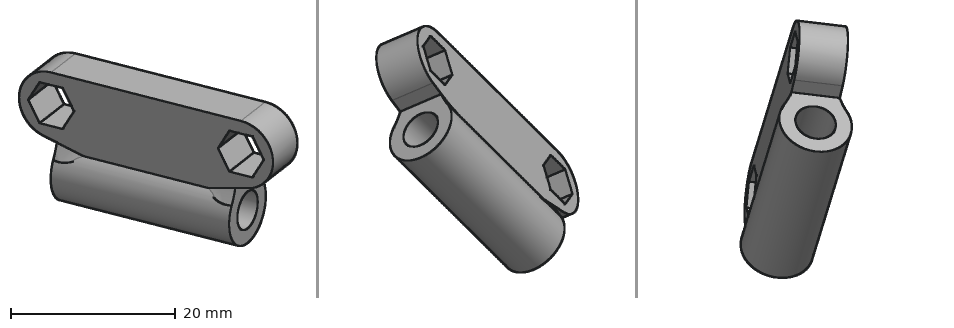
import math

import cadquery as cq

TUBE_LENGTH = 25.0
TUBE_DIAMETER = 9.0
BORE_DIAMETER = 5.0

BAR_THICKNESS = 6.0
BOSS_RADIUS = 4.5
BOSS_SPACING = 26.57
BOSS_HEIGHT = 9.09
UNDERSIDE_ANGLE = 13.7
HEX_ACROSS_FLATS = 5.55

BLEND_RADIUS = 9.0
BLEND_SECTIONS = 3
BLEND_TIP_ANGLE = 1.0
BLEND_BITE = 0.01
BLEND_RIDGE = 1.0

TUBE_RADIUS = TUBE_DIAMETER / 2
BLEND_BASE = TUBE_RADIUS - BLEND_BITE
HALF_LENGTH = TUBE_LENGTH / 2
HALF_BAR = BAR_THICKNESS / 2
BOSS_X = BOSS_SPACING / 2

SLOPE = math.radians(UNDERSIDE_ANGLE)
TANGENT_X = BOSS_X + BOSS_RADIUS * math.sin(SLOPE)
TANGENT_Z = BOSS_HEIGHT - BOSS_RADIUS * math.cos(SLOPE)
INNER_Z = math.sqrt(TUBE_RADIUS**2 - HALF_BAR**2)
INNER_X = TANGENT_X - (TANGENT_Z - INNER_Z) / math.tan(SLOPE)


def make_bar():
    """Plate with rounded ends and undersides sloping down into the tube."""
    top_z = BOSS_HEIGHT + BOSS_RADIUS
    tip_x = BOSS_X + BOSS_RADIUS
    return (
        cq.Workplane("XZ")
        .moveTo(-BOSS_X, top_z)
        .lineTo(BOSS_X, top_z)
        .threePointArc((tip_x, BOSS_HEIGHT), (TANGENT_X, TANGENT_Z))
        .lineTo(INNER_X, INNER_Z)
        .lineTo(-INNER_X, INNER_Z)
        .lineTo(-TANGENT_X, TANGENT_Z)
        .threePointArc((-tip_x, BOSS_HEIGHT), (-BOSS_X, top_z))
        .close()
        .extrude(HALF_BAR, both=True)
    )


def make_tube_body():
    return cq.Workplane("YZ").circle(TUBE_RADIUS).extrude(HALF_LENGTH, both=True)


def blend_section(cover_angle):
    """Cross-section of the blend whose arc covers the given angle of the tube.

    The arc starts at the lower edge of the bar and ends tangent to a cylinder just below
    the surface of the tube.
    """
    center_reach = BLEND_BASE + BLEND_RADIUS
    edge_reach = center_reach * math.cos(cover_angle) - math.sqrt(
        BLEND_RADIUS**2 - (center_reach * math.sin(cover_angle)) ** 2
    )
    edge_z = math.sqrt(edge_reach**2 - HALF_BAR**2)
    x = INNER_X + (edge_z - INNER_Z) / math.tan(SLOPE)

    center_angle = math.asin(HALF_BAR / edge_reach) + cover_angle
    center_y = center_reach * math.sin(center_angle)
    center_z = center_reach * math.cos(center_angle)
    foot_y = BLEND_BASE * math.sin(center_angle)
    foot_z = BLEND_BASE * math.cos(center_angle)

    chord_y = (HALF_BAR + foot_y) / 2 - center_y
    chord_z = (edge_z + foot_z) / 2 - center_z
    stretch = BLEND_RADIUS / math.hypot(chord_y, chord_z)
    mid_y = center_y + chord_y * stretch
    mid_z = center_z + chord_z * stretch
    return (
        cq.Workplane("YZ", origin=(x, 0, 0))
        .moveTo(0, edge_z + BLEND_RIDGE)
        .lineTo(HALF_BAR, edge_z)
        .threePointArc((mid_y, mid_z), (foot_y, foot_z))
        .lineTo(-foot_y, foot_z)
        .threePointArc((-mid_y, mid_z), (-HALF_BAR, edge_z))
        .close()
        .val()
    )


def make_blend():
    """Blend under the +X end of the bar, trimmed flush with the tube end."""
    end_edge_z = INNER_Z + (HALF_LENGTH - INNER_X) * math.tan(SLOPE)
    end_reach = math.hypot(HALF_BAR, end_edge_z)
    center_reach = BLEND_BASE + BLEND_RADIUS
    end_angle = math.acos(
        (end_reach**2 + center_reach**2 - BLEND_RADIUS**2) / (2 * end_reach * center_reach)
    )
    tip_angle = math.radians(BLEND_TIP_ANGLE)
    step = (end_angle - tip_angle) / (BLEND_SECTIONS - 1)
    sections = [blend_section(tip_angle + i * step) for i in range(BLEND_SECTIONS)]
    return cq.Workplane(cq.Solid.makeLoft(sections))


def cut_bore(body):
    bore = cq.Workplane("YZ").circle(BORE_DIAMETER / 2).extrude(HALF_LENGTH, both=True)
    return body.cut(bore)


def cut_hex_holes(body):
    """Hexagonal through holes on the boss axes, with flats at top and bottom."""
    across_corners = HEX_ACROSS_FLATS / math.cos(math.pi / 6)
    holes = (
        cq.Workplane("XZ")
        .pushPoints([(-BOSS_X, BOSS_HEIGHT), (BOSS_X, BOSS_HEIGHT)])
        .polygon(6, across_corners)
        .extrude(HALF_BAR, both=True)
    )
    return body.cut(holes)


blend = make_blend()
body = make_bar().union(make_tube_body()).union(blend).union(blend.mirror("YZ"))
result = cut_hex_holes(cut_bore(body))